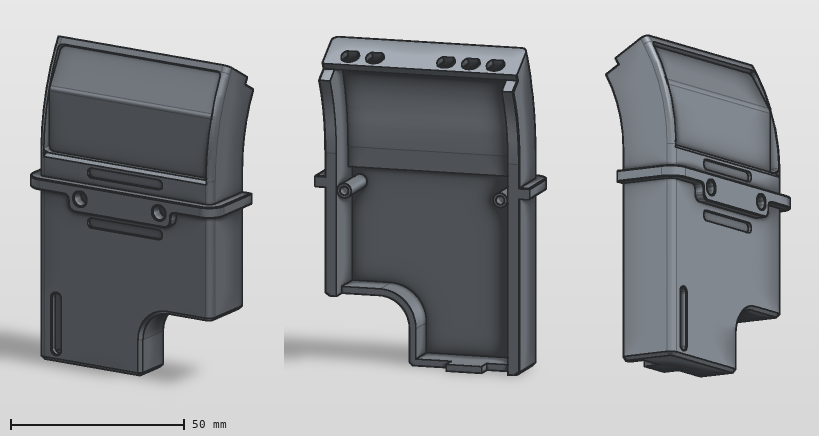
import math

import cadquery as cq

HEIGHT = 94.7
BODY_WIDTH = 58.9
BODY_DEPTH = 17.05
CORNER_RADIUS = 2.0
EDGE_CHAMFER = 1.0
FINE_CHAMFER = 0.3

BEND_ANGLE = math.radians(30)
BACK_RADIUS = 44.7
FRONT_RADIUS = BACK_RADIUS + BODY_DEPTH
CAP_THICKNESS = 2.1
BEND_START_Z = HEIGHT - FRONT_RADIUS * math.sin(BEND_ANGLE) - CAP_THICKNESS * math.cos(BEND_ANGLE)

WALL = 2.0
SIDE_WALL = 3.5
BEND_FRONT_WALL = 6.0
BACK_REBATE = 5.0
INNER_HALF_WIDTH = BODY_WIDTH / 2 - SIDE_WALL
BEND_INNER_RADIUS = FRONT_RADIUS - BEND_FRONT_WALL
FLOOR_TAB_WIDTH = 10.7
FLOOR_TAB_X = -12.6

NOTCH_X = 5.5
NOTCH_Z = 20.0
NOTCH_RADIUS = 9.0

FLANGE_WIDTH = 65.0
FLANGE_OVERHANG = (FLANGE_WIDTH - BODY_WIDTH) / 2
FLANGE_BOTTOM_Z = 51.8
FLANGE_THICKNESS = 3.3
TAB_WIDTH = 34.9
TAB_BOTTOM_Z = 47.0
TAB_OUTER_RADIUS = 2.3
TAB_INNER_RADIUS = 1.5
TAB_HOLE_DIAMETER = 4.3
TAB_HOLE_SPACING = 26.9
TAB_HOLE_Z = 51.2
TAB_HOLE_DEPTH = 4.0

RECESS_WIDTH = 55.3
RECESS_DEPTH = 3.0
RECESS_TOP_DEPTH = 1.5
RECESS_CORNER_RADIUS = 1.6
RECESS_BEND_RADIUS = 3.0

SLOT_WIDTH = 3.0
GROOVE_LENGTH = 25.5
GROOVE_DEPTH = 1.0
GROOVE_Z = (58.5, 43.6)
SIDE_SLOT_LENGTH = 18.4
SIDE_SLOT_X = -23.5
SIDE_SLOT_Z = 11.5

CAP_HOLE_DIAMETER = 5.3
CAP_HOLE_PITCH = 7.5
CAP_HOLE_LEFT_GROUP = (-22.0, 3)
CAP_HOLE_RIGHT_GROUP = (14.5, 2)
CAP_HOLE_RADIUS_POSITION = 53.6

BOSS_DIAMETER = 4.3
BOSS_HOLE_DIAMETER = 2.6
BOSS_X = 23.6
BOSS_Z = 51.2
BOSS_HOLE_DEPTH = 7.6

CLEARANCE = 4.7
PICK_MARGIN = 0.5
TOUCH = 0.1


def bend_point(radius, angle=BEND_ANGLE, along=0.0):
    """(Y, Z) at a radius and angle of the bend, moved on along the bend's end direction."""
    y = BACK_RADIUS - radius * math.cos(angle) + along * math.sin(BEND_ANGLE)
    z = BEND_START_Z + radius * math.sin(angle) + along * math.cos(BEND_ANGLE)
    return (y, z)


def extrude_side(outline, width):
    """Extrude a (Y, Z) outline symmetrically along X."""
    return outline.extrude(width / 2, both=True)


def pick_box(low, high, margin):
    """Selector for the edges whose centres lie between two corners, give or take a margin."""
    return cq.selectors.BoxSelector(
        tuple(value - margin for value in low),
        tuple(value + margin for value in high),
    )


def front_plane(y):
    """Plane facing -Y, with local coordinates X and Z."""
    return cq.Workplane("XZ", origin=(0, y, 0))


def body():
    cap_back_radius = BACK_RADIUS + BACK_REBATE
    outline = (
        cq.Workplane("YZ")
        .moveTo(0, 0)
        .lineTo(-BODY_DEPTH, 0)
        .lineTo(-BODY_DEPTH, BEND_START_Z)
        .threePointArc(bend_point(FRONT_RADIUS, BEND_ANGLE / 2), bend_point(FRONT_RADIUS))
        .lineTo(*bend_point(FRONT_RADIUS, along=CAP_THICKNESS))
        .lineTo(*bend_point(cap_back_radius, along=CAP_THICKNESS))
        .lineTo(*bend_point(cap_back_radius))
        .lineTo(*bend_point(BACK_RADIUS))
        .threePointArc(bend_point(BACK_RADIUS, BEND_ANGLE / 2), (0, BEND_START_Z))
        .close()
    )
    shell = extrude_side(outline, BODY_WIDTH)
    for side in (-1, 1):
        x = side * BODY_WIDTH / 2
        front_corner = pick_box((x, -BODY_DEPTH, 0), (x, -BODY_DEPTH, BEND_START_Z), PICK_MARGIN)
        shell = shell.edges(front_corner).fillet(CORNER_RADIUS)
        back_rim = pick_box((x, 0, CLEARANCE), (x, BACK_RADIUS, HEIGHT), TOUCH)
        shell = shell.edges(back_rim).chamfer(FINE_CHAMFER)
    return shell


def notch(wall=0.0):
    """Cutter for the lower right corner, grown by a wall thickness."""
    x = NOTCH_X - wall
    z = NOTCH_Z + wall
    radius = NOTCH_RADIUS + wall
    outline = (
        front_plane(CLEARANCE)
        .moveTo(x, -CLEARANCE)
        .lineTo(x, z - radius)
        .radiusArc((x + radius, z), radius)
        .lineTo(BODY_WIDTH, z)
        .lineTo(BODY_WIDTH, -CLEARANCE)
        .close()
    )
    return outline.extrude(BODY_DEPTH + 2 * CLEARANCE)


def chamfer_bottom(shell):
    """Bevel the front and side edges of the bottom and of the notch."""
    half_width = BODY_WIDTH / 2
    low_edges = pick_box((-half_width, -BODY_DEPTH, 0), (half_width, -2 * TOUCH, NOTCH_Z), TOUCH)
    return shell.edges(low_edges).chamfer(EDGE_CHAMFER)


def straight_hollow():
    """Hollow of the straight part, with the back rebate that shortens the floors."""
    room_height = BEND_START_Z - BEND_FRONT_WALL - WALL
    room = (
        cq.Workplane("XY", origin=(0, CLEARANCE, WALL))
        .rect(2 * INNER_HALF_WIDTH, 2 * (BODY_DEPTH - WALL + CLEARANCE))
        .extrude(room_height)
        .cut(notch(WALL))
    )
    rebate = (
        cq.Workplane("XY", origin=(0, 0, -CLEARANCE))
        .rect(2 * INNER_HALF_WIDTH, 2 * BACK_REBATE)
        .extrude(room_height + CLEARANCE)
    )
    floor_tab = (
        cq.Workplane("XY", origin=(FLOOR_TAB_X, 0, -CLEARANCE))
        .rect(FLOOR_TAB_WIDTH, 2 * BACK_REBATE)
        .extrude(WALL + CLEARANCE)
    )
    return room.union(rebate.cut(floor_tab))


def bend_hollow():
    """Hollow of the bend, which has a thicker front wall and is open at the back."""
    outer_radius = BEND_INNER_RADIUS
    inner_radius = BACK_RADIUS - CLEARANCE
    bottom_z = BEND_START_Z - BEND_FRONT_WALL - CLEARANCE
    outline = (
        cq.Workplane("YZ")
        .moveTo(CLEARANCE, bottom_z)
        .lineTo(BACK_RADIUS - outer_radius, bottom_z)
        .lineTo(BACK_RADIUS - outer_radius, BEND_START_Z)
        .threePointArc(bend_point(outer_radius, BEND_ANGLE / 2), bend_point(outer_radius))
        .lineTo(*bend_point(inner_radius))
        .threePointArc(bend_point(inner_radius, BEND_ANGLE / 2), (CLEARANCE, BEND_START_Z))
        .close()
    )
    return extrude_side(outline, 2 * INNER_HALF_WIDTH)


def flange():
    """U-shaped rim with the screw tab below its front."""
    depth = BODY_DEPTH + FLANGE_OVERHANG
    radius = CORNER_RADIUS + FLANGE_OVERHANG
    rim = (
        cq.Workplane("XY", origin=(0, -depth / 2, FLANGE_BOTTOM_Z))
        .rect(FLANGE_WIDTH, depth)
        .extrude(FLANGE_THICKNESS)
        .edges("|Z and <Y")
        .fillet(radius)
    )
    half_tab = TAB_WIDTH / 2
    half_neck = half_tab + TAB_INNER_RADIUS
    top_z = FLANGE_BOTTOM_Z + FLANGE_THICKNESS / 2
    tab = (
        front_plane(-BODY_DEPTH + WALL / 2)
        .moveTo(-half_neck, top_z)
        .lineTo(-half_neck, FLANGE_BOTTOM_Z)
        .radiusArc((-half_tab, FLANGE_BOTTOM_Z - TAB_INNER_RADIUS), TAB_INNER_RADIUS)
        .lineTo(-half_tab, TAB_BOTTOM_Z + TAB_OUTER_RADIUS)
        .radiusArc((-half_tab + TAB_OUTER_RADIUS, TAB_BOTTOM_Z), -TAB_OUTER_RADIUS)
        .lineTo(half_tab - TAB_OUTER_RADIUS, TAB_BOTTOM_Z)
        .radiusArc((half_tab, TAB_BOTTOM_Z + TAB_OUTER_RADIUS), -TAB_OUTER_RADIUS)
        .lineTo(half_tab, FLANGE_BOTTOM_Z - TAB_INNER_RADIUS)
        .radiusArc((half_neck, FLANGE_BOTTOM_Z), TAB_INNER_RADIUS)
        .lineTo(half_neck, top_z)
        .close()
        .extrude(FLANGE_OVERHANG + WALL / 2)
    )
    core = (
        cq.Workplane("XY", origin=(0, 0, FLANGE_BOTTOM_Z))
        .rect(2 * INNER_HALF_WIDTH, 2 * (BODY_DEPTH - WALL))
        .extrude(FLANGE_THICKNESS)
    )
    blank = rim.union(tab)
    half_width = FLANGE_WIDTH / 2
    outer_edges = blank.faces(">Z").edges()
    low_front = pick_box((-half_width, -depth, 0), (half_width, -depth, FLANGE_BOTTOM_Z), TOUCH)
    outer_edges = outer_edges.add(blank.edges(low_front))
    for side in (-1, 1):
        x = side * (half_width - radius / 4)
        low_side = pick_box((x, -depth, FLANGE_BOTTOM_Z), (x, 0, FLANGE_BOTTOM_Z), radius / 4 + TOUCH)
        outer_edges = outer_edges.add(blank.edges(low_side))
    blank = outer_edges.chamfer(FINE_CHAMFER)
    return blank.cut(core)


def front_recess():
    """Recess with an upright lower face and an upper face parallel to the end of the bend."""
    front_y = -BODY_DEPTH - CLEARANCE
    floor_y = -BODY_DEPTH + RECESS_DEPTH
    top_y, top_z = bend_point(FRONT_RADIUS - RECESS_TOP_DEPTH)
    outer_y, outer_z = bend_point(FRONT_RADIUS + CLEARANCE)
    kink_z = top_z - (top_y - floor_y) / math.tan(BEND_ANGLE)
    outline = (
        cq.Workplane("YZ")
        .moveTo(front_y, BEND_START_Z)
        .lineTo(floor_y, BEND_START_Z)
        .lineTo(floor_y, kink_z)
        .lineTo(top_y, top_z)
        .lineTo(outer_y, outer_z)
        .lineTo(front_y, outer_z)
        .close()
    )
    recess = extrude_side(outline, RECESS_WIDTH)
    kink = (0, floor_y, kink_z)
    recess = recess.edges(pick_box(kink, kink, PICK_MARGIN)).fillet(RECESS_BEND_RADIUS)
    bottom_middle = ((front_y + floor_y) / 2, BEND_START_Z)
    top_middle = ((outer_y + top_y) / 2, (outer_z + top_z) / 2)
    for side in (-1, 1):
        for y, z in (bottom_middle, top_middle):
            corner = (side * RECESS_WIDTH / 2, y, z)
            recess = recess.edges(pick_box(corner, corner, PICK_MARGIN)).fillet(RECESS_CORNER_RADIUS)
    ledge_bevel = (
        cq.Workplane("YZ")
        .moveTo(-BODY_DEPTH, BEND_START_Z - EDGE_CHAMFER)
        .lineTo(-BODY_DEPTH + EDGE_CHAMFER, BEND_START_Z)
        .lineTo(-BODY_DEPTH, BEND_START_Z + EDGE_CHAMFER)
        .lineTo(-BODY_DEPTH - EDGE_CHAMFER, BEND_START_Z)
        .close()
    )
    return recess.union(extrude_side(ledge_bevel, RECESS_WIDTH))


def grooves():
    """Blind grooves across the front, above and below the flange."""
    return (
        front_plane(-BODY_DEPTH + GROOVE_DEPTH)
        .pushPoints([(0, z) for z in GROOVE_Z])
        .slot2D(GROOVE_LENGTH, SLOT_WIDTH)
        .extrude(GROOVE_DEPTH)
    )


def side_slot():
    """Upright slot through the front wall, with a beveled rim."""
    surface = front_plane(-BODY_DEPTH).center(SIDE_SLOT_X, SIDE_SLOT_Z)
    slot = surface.slot2D(SIDE_SLOT_LENGTH, SLOT_WIDTH, 90).extrude(-2 * WALL)
    bevel = surface.slot2D(
        SIDE_SLOT_LENGTH + 2 * FINE_CHAMFER, SLOT_WIDTH + 2 * FINE_CHAMFER, 90
    ).extrude(-FINE_CHAMFER, taper=45)
    return slot.union(bevel)


def tab_holes():
    """Blind screw holes in the flange tab, with beveled rims."""
    surface = front_plane(-BODY_DEPTH - FLANGE_OVERHANG).pushPoints(
        [(side * TAB_HOLE_SPACING / 2, TAB_HOLE_Z) for side in (-1, 1)]
    )
    holes = surface.circle(TAB_HOLE_DIAMETER / 2).extrude(-TAB_HOLE_DEPTH)
    bevels = surface.circle(TAB_HOLE_DIAMETER / 2 + FINE_CHAMFER).extrude(-FINE_CHAMFER, taper=45)
    return holes.union(bevels)


def cap_holes():
    """Holes square to the cap, cut off flat at the front wall of the hollow."""
    cap = cq.Plane(
        origin=(0, *bend_point(CAP_HOLE_RADIUS_POSITION)),
        xDir=(1, 0, 0),
        normal=(0, math.sin(BEND_ANGLE), math.cos(BEND_ANGLE)),
    )
    length = 2 * CAP_THICKNESS
    flat = BEND_INNER_RADIUS - CAP_HOLE_RADIUS_POSITION
    centers = [
        (first_x + CAP_HOLE_PITCH * step, 0)
        for first_x, count in (CAP_HOLE_LEFT_GROUP, CAP_HOLE_RIGHT_GROUP)
        for step in range(count)
    ]
    holes = cq.Workplane(cap).pushPoints(centers).circle(CAP_HOLE_DIAMETER / 2).extrude(length)
    behind_wall = (
        cq.Workplane(cap)
        .center(0, CAP_HOLE_DIAMETER - flat)
        .rect(BODY_WIDTH, 2 * CAP_HOLE_DIAMETER)
        .extrude(length)
    )
    return holes.intersect(behind_wall)


def bosses(diameter, depth):
    """Posts or holes reaching forwards from the back plane."""
    return (
        front_plane(0)
        .pushPoints([(side * BOSS_X, BOSS_Z) for side in (-1, 1)])
        .circle(diameter / 2)
        .extrude(depth)
    )


housing = chamfer_bottom(body().cut(notch()))
housing = housing.cut(straight_hollow()).cut(bend_hollow())
housing = housing.union(flange()).union(bosses(BOSS_DIAMETER, BODY_DEPTH - WALL / 2))
housing = housing.cut(bosses(BOSS_HOLE_DIAMETER, BOSS_HOLE_DEPTH))
for cutter in (front_recess(), grooves(), cap_holes(), side_slot(), tab_holes()):
    housing = housing.cut(cutter)
result = housing